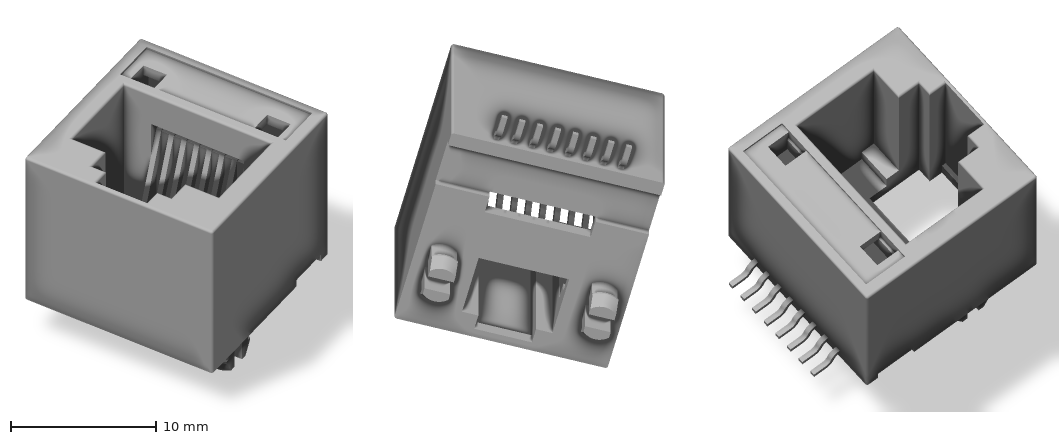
import cadquery as cq
import math


body_width = 15.23
body_depth = 15.16
body_height = 12.7
total_depth = 17.45
edge_radius = 0.2
pick_margin = 0.02

cavity_half_width = 5.95
cavity_front = 3.5
cavity_back = 10.33
shoulder_half_width = 3.23
shoulder_front = 1.71
latch_half_width = 2.06
latch_front = 0.3
floor_height = 1.0
ledge_height = 2.0
ledge_back = 4.59
floor_hole_front = 0.63
floor_hole_back = 6.1

contact_count = 8
contact_span = 7.15
contact_width = 0.4
contact_thickness = 0.55
contact_embed = 0.17
contact_heel = 0.26
contact_tip_y = 8.4
contact_tip_z = 1.92
contact_root_z = 9.16
pocket_half_width = (contact_span + contact_width) / 2
pocket_front = 9.72
pocket_wall = 11.06
pocket_shelf_z = 9.07
pocket_top = 10.05
pocket_back = 11.35

panel_half_width = 6.72
panel_front = 11.05
panel_back = 14.5
panel_recess = 0.2
window_inner = 4.07
window_outer = 5.97
window_back = 12.9
window_plate = 0.85
window_chamfer = 0.14
chamber_inner = 2.1
chamber_back = 13.52
chamber_floor = 10.17

notch_front = 10.98
notch_back = 14.17
notch_height = 0.58

lead_span = 8.9
lead_width = 0.4
lead_thickness = 0.33
lead_top_z = 0.02
lead_rise = 0.82
lead_bend_back = 16.44
lead_bend_front = body_depth
lead_embed = 0.52

peg_count = 2
peg_spacing = 11.46
peg_y = 4.94
peg_width = 1.83
peg_diameter = 3.18
barb_diameter = 3.6
peg_tip_diameter = 2.62
peg_slit = 0.98
peg_length = 3.0
peg_embed = 0.17
shank_length = 1.81
barb_rim = 0.15


def box(x_min, x_max, y_min, y_max, z_min, z_max):
    """Axis-aligned block between the given limits."""
    block = cq.Workplane("XY").box(x_max - x_min, y_max - y_min, z_max - z_min, centered=False)
    return block.translate((x_min, y_min, z_min))


def wide_box(half_width, y_min, y_max, z_min, z_max):
    """Block centred on X = 0."""
    return box(-half_width, half_width, y_min, y_max, z_min, z_max)


def side_extrusion(outline, x_center, width):
    """Extrude a closed YZ outline evenly about x_center."""
    return outline.extrude(width / 2, both=True).translate((x_center, 0, 0))


def row(count, span):
    """Evenly spaced X positions filling a span centred on X = 0."""
    return [span * (i / (count - 1) - 0.5) for i in range(count)]


def make_housing():
    body = wide_box(body_width / 2, 0, body_depth, 0, body_height)
    body = body.edges("|Z or >Z").fillet(edge_radius)
    return body.cut(wide_box(body_width, notch_front, notch_back, 0, notch_height))


def cut_cavity(body):
    widths_and_fronts = (
        (cavity_half_width, cavity_front),
        (shoulder_half_width, shoulder_front),
        (latch_half_width, latch_front),
    )
    for half_width, front in widths_and_fronts:
        body = body.cut(wide_box(half_width, front, cavity_back, floor_height, body_height))

    mouth = cq.selectors.BoxSelector(
        (-cavity_half_width - pick_margin, latch_front + pick_margin, body_height - pick_margin),
        (cavity_half_width + pick_margin, cavity_back + pick_margin, body_height + pick_margin),
    )
    body = body.edges(mouth).fillet(edge_radius)

    for side in (-1, 1):
        x_limits = sorted((side * shoulder_half_width, side * cavity_half_width))
        body = body.union(box(*x_limits, cavity_front, ledge_back, floor_height, ledge_height))

    body = body.cut(wide_box(shoulder_half_width, shoulder_front, floor_hole_back, 0, floor_height))
    return body.cut(wide_box(latch_half_width, floor_hole_front, shoulder_front, 0, floor_height))


def cut_contact_pocket(body):
    body = body.cut(wide_box(pocket_half_width, pocket_front, pocket_wall, 0, floor_height))
    body = body.cut(wide_box(pocket_half_width, cavity_back, pocket_wall, 0, pocket_top))
    return body.cut(wide_box(pocket_half_width, pocket_wall, pocket_back, pocket_shelf_z, pocket_top))


def cut_windows(body):
    panel_z = body_height - panel_recess
    plate_z = panel_z - window_plate
    body = body.cut(wide_box(panel_half_width, panel_front, panel_back, panel_z, body_height))
    chamber_front = panel_front + window_chamfer
    for side in (-1, 1):
        window_x = sorted((side * window_inner, side * window_outer))
        body = body.cut(box(*window_x, panel_front, window_back, plate_z, panel_z))
        chamber_outline = cq.Workplane("YZ").polyline([
            (panel_front, plate_z),
            (chamber_back, plate_z),
            (chamber_back, chamber_floor),
            (chamber_front, chamber_floor),
            (chamber_front, plate_z - window_chamfer),
        ]).close()
        chamber_x = side * (chamber_inner + window_outer) / 2
        body = body.cut(side_extrusion(chamber_outline, chamber_x, window_outer - chamber_inner))
    return body


def make_contact(x):
    """Sloping spring strip with its root seated on the pocket shelf."""
    outline = cq.Workplane("YZ").polyline([
        (contact_tip_y, contact_tip_z),
        (pocket_wall, contact_root_z),
        (pocket_back + contact_embed, contact_root_z),
        (pocket_back + contact_embed, contact_root_z - contact_heel),
        (pocket_wall + contact_thickness, contact_root_z - contact_heel),
        (contact_tip_y + contact_thickness, contact_tip_z),
    ]).close()
    return side_extrusion(outline, x, contact_width)


def make_lead(x):
    """S-bent lead: out of the back wall, down through two equal bends, then flat to its tip."""
    half = lead_thickness / 2
    run = lead_bend_back - lead_bend_front
    angle = 2 * math.atan2(lead_rise, run)
    radius = run / (2 * math.sin(angle))
    foot_z = lead_top_z - half
    root_z = foot_z + lead_rise
    root_y = lead_bend_front - lead_embed

    def upper(turn, offset):
        """Point on the upper bend, turned from horizontal, offset outwards from the centreline."""
        r = radius + offset
        return (lead_bend_front + r * math.sin(turn), root_z - radius + r * math.cos(turn))

    def lower(turn, offset):
        """Point on the lower bend, turned from horizontal, offset outwards from the centreline."""
        r = radius + offset
        return (lead_bend_back - r * math.sin(turn), foot_z + radius - r * math.cos(turn))

    outline = (
        cq.Workplane("YZ")
        .moveTo(root_y, root_z + half)
        .lineTo(*upper(0, half))
        .threePointArc(upper(angle / 2, half), upper(angle, half))
        .threePointArc(lower(angle / 2, -half), lower(0, -half))
        .lineTo(total_depth, foot_z + half)
        .lineTo(total_depth, foot_z - half)
        .lineTo(*lower(0, half))
        .threePointArc(lower(angle / 2, half), lower(angle, half))
        .threePointArc(upper(angle / 2, -half), upper(0, -half))
        .lineTo(root_y, root_z - half)
        .close()
    )
    return side_extrusion(outline, x, lead_width)


def make_peg(x):
    """Split snap peg: turned shank and barb with flat sides and a cross slit."""
    barb_z = -shank_length - barb_rim
    profile = cq.Workplane("XZ").polyline([
        (0, peg_embed),
        (peg_diameter / 2, peg_embed),
        (peg_diameter / 2, -shank_length),
        (barb_diameter / 2, -shank_length),
        (barb_diameter / 2, barb_z),
        (peg_tip_diameter / 2, -peg_length),
        (0, -peg_length),
    ]).close()
    peg = profile.revolve(360, (0, 0, 0), (0, 1, 0))
    peg = peg.intersect(wide_box(peg_width / 2, -barb_diameter, barb_diameter, -peg_length, peg_embed))
    peg = peg.cut(wide_box(peg_width, -peg_slit / 2, peg_slit / 2, -peg_length, 0))
    return peg.translate((x, peg_y, 0))


part = cut_windows(cut_contact_pocket(cut_cavity(make_housing())))
for contact_x in row(contact_count, contact_span):
    part = part.union(make_contact(contact_x))
for lead_x in row(contact_count, lead_span):
    part = part.union(make_lead(lead_x))
for peg_x in row(peg_count, peg_spacing):
    part = part.union(make_peg(peg_x))
result = cq.Workplane(part.solids().val())